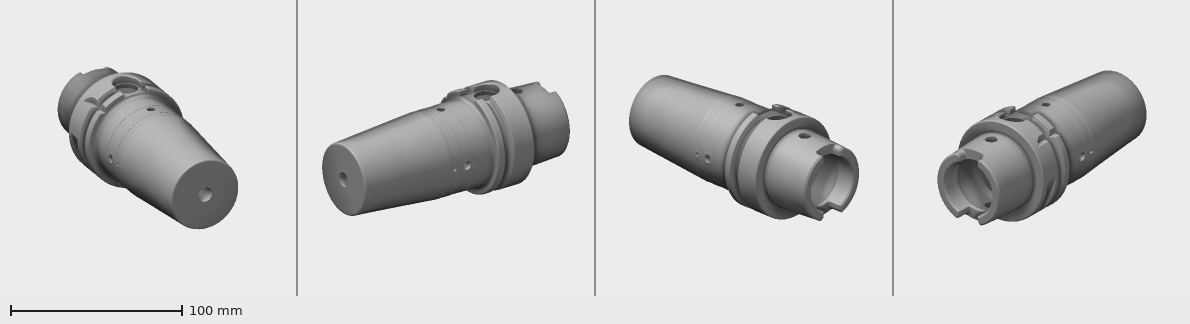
import cadquery as cq
import math


SHANK_LENGTH = 32.0
PROJECTION = 115.0
FLANGE_WIDTH = 26.0
CONE_START = 57.5

SHANK_END_RADIUS = 22.8
SHANK_TAPER = 0.05
SHANK_CHAMFER = 1.0
NECK_START = -1.9
NECK_STEP = 0.5
NECK_RADIUS = 24.0
FACE_RELIEF_RADIUS = 25.5
FACE_RELIEF_DEPTH = 0.5

FLANGE_RADIUS = 31.5
FLANGE_EDGE_ROUND = 1.0
REAR_FILLET = 2.0
GROOVE_CENTER = 18.0
GROOVE_RADIUS = 27.4
GROOVE_LIP_HALF = 3.3
GROOVE_FLOOR_HALF = 1.8
GROOVE_LIP_ROUND = 0.7
GROOVE_FLOOR_FILLET = 1.0

BODY_RADIUS = 26.5
NOSE_RADIUS = 22.0
NOSE_ROUND = 1.2
RELIEF_BANDS = [(40.7, 49.1), (51.7, 56.0)]
BAND_DEPTH = 0.15
BAND_RAMP_LENGTH = 0.6

BORE_RADIUS = 17.0
BORE_CHAMFER = 0.9
BORE_LAND_LENGTH = 12.6
CHAMBER_RADIUS = 18.5
CHAMBER_SHOULDER_ANGLE = 45.0
CHAMBER_FLOOR_X = 0.0
CHAMBER_FLOOR_RADIUS = 15.75
COOLANT_SEAT_RADIUS = 9.1
COOLANT_SEAT_DEPTH = 12.0
THROUGH_RADIUS = 4.5

SLOT_HALF_WIDTH = 6.3
SLOT_WALL_TOP = 18.0
SLOT_FLARE_RADIUS = 3.0
SLOT_END_FILLET = 1.6
TOP_SLOT_DEPTH = 5.75
BOTTOM_SLOT_DEPTH = 9.75

TOP_POCKET_CENTER_X = 12.6
TOP_POCKET_HALF_WIDTH = 8.0
BOTTOM_POCKET_CENTER_X = 13.6
BOTTOM_POCKET_HALF_WIDTH = 9.0
POCKET_FLOOR = 26.5
POCKET_RIM_CHAMFER = 0.7
CHIP_HOLE_RADIUS = 7.0
CHIP_HOLE_DEPTH = 2.7

NOTCH_OFFSET = 20.2
NOTCH_CUTTER_RADIUS = 8.0
NOTCH_CUTTER_X = 11.8
FLAT_START = 3.5
FLAT_END = 11.6
FLAT_HALF_CHORD = 12.3
FLAT_ANGLE = 21.7

CROSS_HOLE_X = -9.2
CROSS_HOLE_RADIUS = 3.75
SCREW_HOLE_X = 44.9
SCREW_HOLE_RADIUS = 2.6
SCREW_HOLE_DEPTH = 10.0
DRILL_POINT_ANGLE = 118.0
VENT_HOLE_X = 53.8
VENT_HOLE_RADIUS = 1.25

OUTSIDE = FLANGE_RADIUS + 5.0
EDGE_SEARCH_MARGIN = 0.1
CUTTER_CLEARANCE = 0.1


def revolve_about_x(profile):
    return profile.close().revolve(360, (0, 0, 0), (1, 0, 0))


def ring(start_x, end_x, inner_radius, outer_radius):
    tube = cq.Workplane("YZ", origin=(start_x, 0, 0)).circle(outer_radius).circle(inner_radius)
    return tube.extrude(end_x - start_x)


def turned_about_axis(shape, angle):
    return shape.rotate((0, 0, 0), (1, 0, 0), angle)


def shank():
    neck_edge_radius = SHANK_END_RADIUS + SHANK_TAPER * (SHANK_LENGTH + NECK_START)
    profile = (
        cq.Workplane("XY")
        .moveTo(-SHANK_LENGTH, 0)
        .lineTo(-SHANK_LENGTH, SHANK_END_RADIUS - SHANK_CHAMFER)
        .lineTo(-SHANK_LENGTH + SHANK_CHAMFER, SHANK_END_RADIUS)
        .lineTo(NECK_START, neck_edge_radius)
        .lineTo(NECK_START + NECK_STEP, NECK_RADIUS)
        .lineTo(FLANGE_EDGE_ROUND, NECK_RADIUS)
        .lineTo(FLANGE_EDGE_ROUND, 0)
    )
    return revolve_about_x(profile)


def edges_at_station(x):
    """Selector for the edges centred on the axis at a given x."""
    return cq.selectors.BoxSelector(
        (x - EDGE_SEARCH_MARGIN, -OUTSIDE, -OUTSIDE), (x + EDGE_SEARCH_MARGIN, OUTSIDE, OUTSIDE)
    )


def gripper_groove():
    profile = (
        cq.Workplane("XY")
        .moveTo(GROOVE_CENTER - GROOVE_LIP_HALF, FLANGE_RADIUS)
        .lineTo(GROOVE_CENTER - GROOVE_FLOOR_HALF, GROOVE_RADIUS)
        .lineTo(GROOVE_CENTER + GROOVE_FLOOR_HALF, GROOVE_RADIUS)
        .lineTo(GROOVE_CENTER + GROOVE_LIP_HALF, FLANGE_RADIUS)
    )
    groove = revolve_about_x(profile)
    for side in (-1, 1):
        floor_edge = edges_at_station(GROOVE_CENTER + side * GROOVE_FLOOR_HALF)
        groove = groove.edges("%CIRCLE").edges(floor_edge).fillet(GROOVE_FLOOR_FILLET)
    return groove


def flange():
    blank = cq.Workplane("YZ").circle(FLANGE_RADIUS).extrude(FLANGE_WIDTH)
    blank = blank.edges("%CIRCLE").fillet(FLANGE_EDGE_ROUND)
    blank = blank.cut(gripper_groove())
    for side in (-1, 1):
        lip_edge = edges_at_station(GROOVE_CENTER + side * GROOVE_LIP_HALF)
        blank = blank.edges("%CIRCLE").edges(lip_edge).fillet(GROOVE_LIP_ROUND)
    return blank.cut(ring(0, FACE_RELIEF_DEPTH, NECK_RADIUS, FACE_RELIEF_RADIUS))


def relief_band(start_x, end_x):
    """Shallow turned band that steps down at its front end and ramps back up at its rear end."""
    profile = (
        cq.Workplane("XY")
        .moveTo(start_x, BODY_RADIUS)
        .lineTo(start_x, BODY_RADIUS - BAND_DEPTH)
        .lineTo(end_x - BAND_RAMP_LENGTH, BODY_RADIUS - BAND_DEPTH)
        .lineTo(end_x, BODY_RADIUS)
    )
    return revolve_about_x(profile)


def body():
    fillet_top = BODY_RADIUS + REAR_FILLET
    fillet_end = FLANGE_WIDTH + REAR_FILLET
    arc_inset = REAR_FILLET * (1 - math.sqrt(0.5))
    profile = (
        cq.Workplane("XY")
        .moveTo(FLANGE_WIDTH, 0)
        .lineTo(FLANGE_WIDTH, fillet_top)
        .threePointArc((FLANGE_WIDTH + arc_inset, BODY_RADIUS + arc_inset), (fillet_end, BODY_RADIUS))
        .lineTo(CONE_START, BODY_RADIUS)
        .lineTo(PROJECTION, NOSE_RADIUS)
        .lineTo(PROJECTION, 0)
    )
    chuck = revolve_about_x(profile).faces(">X").edges().fillet(NOSE_ROUND)
    for start_x, end_x in RELIEF_BANDS:
        chuck = chuck.cut(relief_band(start_x, end_x))
    return chuck


def clamping_bore():
    mouth_x = -SHANK_LENGTH
    land_end = mouth_x + BORE_LAND_LENGTH
    shoulder_length = (CHAMBER_RADIUS - BORE_RADIUS) / math.tan(math.radians(CHAMBER_SHOULDER_ANGLE))
    seat_end = CHAMBER_FLOOR_X + COOLANT_SEAT_DEPTH
    profile = (
        cq.Workplane("XY")
        .moveTo(mouth_x, 0)
        .lineTo(mouth_x, BORE_RADIUS + BORE_CHAMFER)
        .lineTo(mouth_x + BORE_CHAMFER, BORE_RADIUS)
        .lineTo(land_end, BORE_RADIUS)
        .lineTo(land_end + shoulder_length, CHAMBER_RADIUS)
        .lineTo(CHAMBER_FLOOR_X - (CHAMBER_RADIUS - CHAMBER_FLOOR_RADIUS), CHAMBER_RADIUS)
        .lineTo(CHAMBER_FLOOR_X, CHAMBER_FLOOR_RADIUS)
        .lineTo(CHAMBER_FLOOR_X, COOLANT_SEAT_RADIUS)
        .lineTo(seat_end, COOLANT_SEAT_RADIUS)
        .lineTo(seat_end, THROUGH_RADIUS)
        .lineTo(PROJECTION, THROUGH_RADIUS)
        .lineTo(PROJECTION, 0)
    )
    return revolve_about_x(profile)


def slot_outline(half_width, flare_radius):
    """Slot section across the axis: straight walls that flare outwards in quarter arcs."""
    flare_top = SLOT_WALL_TOP + flare_radius
    flare_end = half_width + flare_radius
    arc_inset = flare_radius * (1 - math.sqrt(0.5))
    arc_rise = flare_radius * math.sqrt(0.5)
    return (
        cq.Workplane("YZ", origin=(-SHANK_LENGTH, 0, 0))
        .moveTo(-half_width, 0)
        .lineTo(half_width, 0)
        .lineTo(half_width, SLOT_WALL_TOP)
        .threePointArc((half_width + arc_inset, SLOT_WALL_TOP + arc_rise), (flare_end, flare_top))
        .lineTo(flare_end, OUTSIDE)
        .lineTo(-flare_end, OUTSIDE)
        .lineTo(-flare_end, flare_top)
        .threePointArc((-half_width - arc_inset, SLOT_WALL_TOP + arc_rise), (-half_width, SLOT_WALL_TOP))
        .close()
    )


def drive_slot(depth):
    slot = slot_outline(SLOT_HALF_WIDTH, SLOT_FLARE_RADIUS).extrude(depth)
    slot = slot.faces(">X").edges().fillet(SLOT_END_FILLET)
    mouth = slot_outline(SLOT_HALF_WIDTH + SHANK_CHAMFER, SLOT_FLARE_RADIUS - SHANK_CHAMFER)
    return slot.union(mouth.extrude(SHANK_CHAMFER, taper=45))


def gripper_pocket(center_x, half_width):
    """Flat-floored pocket, open to the rear, including the chamfer where it meets the flange surface."""
    straight = FLANGE_WIDTH - center_x
    base = cq.Workplane("XY", origin=(center_x, 0, POCKET_FLOOR))
    height = OUTSIDE - POCKET_FLOOR
    round_end = base.circle(half_width).extrude(height)
    channel = base.center(straight / 2, 0).rect(straight, 2 * half_width).extrude(height)
    pocket = round_end.union(channel)
    disc_radius = FLANGE_RADIUS + CUTTER_CLEARANCE
    disc = cq.Workplane("YZ").circle(disc_radius).extrude(FLANGE_WIDTH)
    pocketed_disc = disc.cut(pocket)
    rim_bottom = math.sqrt(disc_radius**2 - half_width**2)
    rim_edges = cq.selectors.BoxSelector(
        (EDGE_SEARCH_MARGIN, -half_width - EDGE_SEARCH_MARGIN, rim_bottom - EDGE_SEARCH_MARGIN),
        (FLANGE_WIDTH - EDGE_SEARCH_MARGIN, half_width + EDGE_SEARCH_MARGIN, OUTSIDE),
    )
    chamfered_disc = pocketed_disc.edges(rim_edges).chamfer(POCKET_RIM_CHAMFER + CUTTER_CLEARANCE)
    return pocket.union(disc.cut(chamfered_disc))


def chip_hole():
    base = cq.Workplane("XY", origin=(TOP_POCKET_CENTER_X, 0, POCKET_FLOOR - CHIP_HOLE_DEPTH))
    return base.circle(CHIP_HOLE_RADIUS).extrude(CHIP_HOLE_DEPTH)


def corner_notch():
    """Square corner cut through the rear of the flange, run out by the radius of the cutter."""
    height = OUTSIDE - NOTCH_OFFSET
    cutter_y = -NOTCH_OFFSET - NOTCH_CUTTER_RADIUS
    run = FLANGE_WIDTH - NOTCH_CUTTER_X
    base = cq.Workplane("XY", origin=(NOTCH_CUTTER_X, cutter_y, NOTCH_OFFSET))
    runout = base.circle(NOTCH_CUTTER_RADIUS).extrude(height)
    channel = base.center(run / 2, 0).rect(run, 2 * NOTCH_CUTTER_RADIUS).extrude(height)
    return runout.union(channel)


def marking_flat():
    flat_distance = math.sqrt(FLANGE_RADIUS**2 - FLAT_HALF_CHORD**2)
    width = FLAT_END - FLAT_START
    block = cq.Workplane("XZ", origin=(FLAT_START + width / 2, -flat_distance, 0))
    block = block.rect(width, 2 * FLAT_HALF_CHORD).extrude(OUTSIDE - flat_distance)
    return turned_about_axis(block, FLAT_ANGLE)


def cross_hole():
    hole = cq.Workplane("XY", origin=(CROSS_HOLE_X, 0, -OUTSIDE)).circle(CROSS_HOLE_RADIUS)
    return hole.extrude(2 * OUTSIDE)


def vent_hole():
    hole = cq.Workplane("XZ", origin=(VENT_HOLE_X, OUTSIDE, 0)).circle(VENT_HOLE_RADIUS)
    return hole.extrude(2 * OUTSIDE)


def screw_hole():
    bottom = BODY_RADIUS - SCREW_HOLE_DEPTH
    point_length = SCREW_HOLE_RADIUS / math.tan(math.radians(DRILL_POINT_ANGLE / 2))
    profile = (
        cq.Workplane("XZ", origin=(SCREW_HOLE_X, 0, 0))
        .moveTo(0, bottom - point_length)
        .lineTo(SCREW_HOLE_RADIUS, bottom)
        .lineTo(SCREW_HOLE_RADIUS, OUTSIDE)
        .lineTo(0, OUTSIDE)
        .close()
    )
    return profile.revolve(360, (0, 0, 0), (0, 1, 0))


collar = flange().cut(gripper_pocket(TOP_POCKET_CENTER_X, TOP_POCKET_HALF_WIDTH))
bottom_pocket = gripper_pocket(BOTTOM_POCKET_CENTER_X, BOTTOM_POCKET_HALF_WIDTH)
collar = collar.cut(turned_about_axis(bottom_pocket, 180))
collar = collar.cut(chip_hole()).cut(corner_notch()).cut(marking_flat())

result = shank().union(collar).union(body())
result = result.cut(clamping_bore())
result = result.cut(drive_slot(TOP_SLOT_DEPTH))
result = result.cut(turned_about_axis(drive_slot(BOTTOM_SLOT_DEPTH), 180))
result = result.cut(cross_hole()).cut(vent_hole())
for screw_angle in (0, 90, 180, 270):
    result = result.cut(turned_about_axis(screw_hole(), screw_angle))